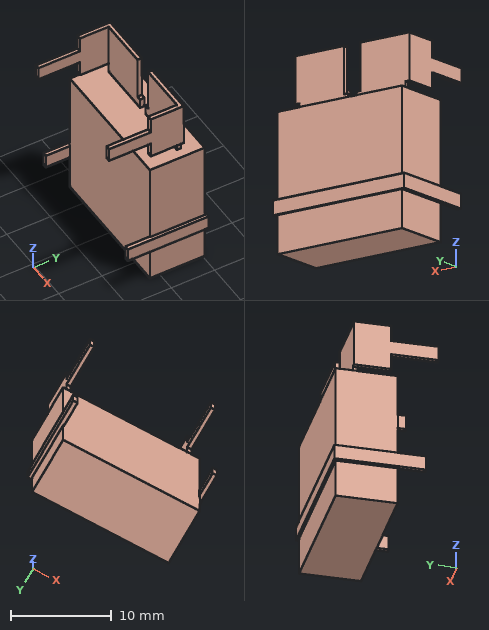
import cadquery as cq

total_width = 16.3
total_height = 20.8
sheet = 0.5
lead_height = 1.55

body_width = 15.5
body_depth = 6.35
body_height = 14.7

clamp_bottom = 4.04
clamp_back = 6.55
clamp_front = -2.79

contact_width = 14.19
contact_back = 4.3
wing_front = 0.5
wing_bottom = 15.8
lead_front = clamp_back - 10.85
lead_bottom = 17.51
plate_gap = 2.0
foot_gap = 1.0


def box(x_min, x_max, y_min, y_max, z_min, z_max):
    """Axis-aligned block between the given limits."""
    size = (x_max - x_min, y_max - y_min, z_max - z_min)
    return cq.Workplane("XY").box(*size, centered=False).translate((x_min, y_min, z_min))


def make_body():
    return box(-body_width / 2, body_width / 2, 0, body_depth, 0, body_height)


def make_clamp():
    outer = total_width / 2
    inner = outer - sheet
    top = clamp_bottom + lead_height
    strip = box(-outer, outer, clamp_front, clamp_back, clamp_bottom, top)
    opening = box(-inner, inner, clamp_front, clamp_back - sheet, clamp_bottom, top)
    return strip.cut(opening)


def make_contact():
    """Contact on the +X side: back plate, foot, side wing and forward lead."""
    outer = contact_width / 2
    inner = outer - sheet
    plate_front = contact_back - sheet
    plate = box(plate_gap / 2, outer, plate_front, contact_back, wing_bottom, total_height)
    foot = box(foot_gap / 2, inner, plate_front, contact_back, body_height, wing_bottom)
    wing = box(inner, outer, wing_front, contact_back, wing_bottom, total_height)
    lead = box(inner, outer, lead_front, wing_front, lead_bottom, lead_bottom + lead_height)
    return plate.union(foot).union(wing).union(lead)


contact = make_contact()
result = make_body().union(make_clamp()).union(contact).union(contact.mirror("YZ"))